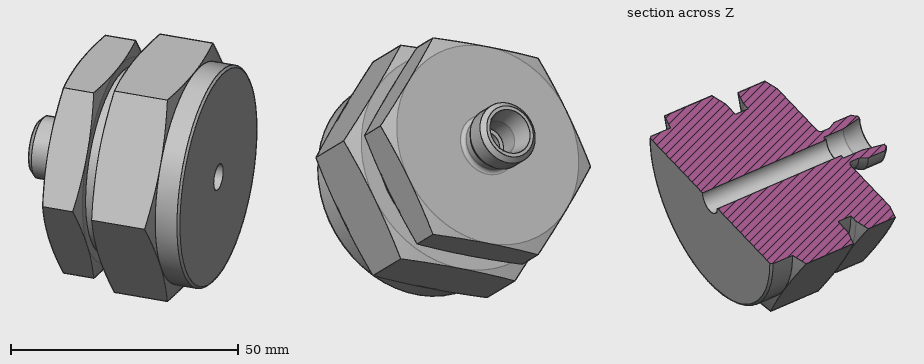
import cadquery as cq
import math


large_hex_corner_diameter = 57.75
large_hex_flats = large_hex_corner_diameter * math.cos(math.radians(30))
small_hex_flats = 46.0
hex_chamfer_angle = 15

small_hex_start = 10.0
small_hex_end = 19.0
large_hex_start = 22.3
large_hex_end = 36.8
overall_length = 42.4

waist_diameter = 41.95
rim_diameter = 49.9
rim_chamfer = 0.5

connector_diameter = 13.95
connector_chamfer = 1.1
connector_shoulder = 5.5
neck_diameter = 11.9
neck_taper_angle = 30
root_fillet = 0.9

seat_mouth_diameter = 10.1
tube_diameter = 7.95
seat_half_angle = 12
tube_depth = 10.0
through_diameter = 6.0


def revolve_about_x(sketch):
    return sketch.close().revolve(360, (0, 0, 0), (1, 0, 0))


def cylinder_along_x(start, end, diameter):
    return cq.Workplane("YZ", origin=(start, 0, 0)).circle(diameter / 2).extrude(end - start)


def chamfered_hexagon(start, end, flats):
    """Hexagon with corners on Y, its corners cut conically at both ends."""
    length = end - start
    corner_radius = flats / 2 / math.cos(math.radians(30))
    prism = (
        cq.Workplane("YZ", origin=(start, 0, 0))
        .polygon(6, 2 * corner_radius)
        .extrude(length)
    )
    face_radius = flats / 2
    middle_radius = face_radius + length / 2 / math.tan(math.radians(hex_chamfer_angle))
    double_cone = revolve_about_x(
        cq.Workplane("XY")
        .moveTo(start, 0)
        .lineTo(start, face_radius)
        .lineTo((start + end) / 2, middle_radius)
        .lineTo(end, face_radius)
        .lineTo(end, 0)
    )
    return prism.intersect(double_cone)


def tube_connector():
    """Chamfered collar tapering to a neck that flares into the small hexagon."""
    outer_radius = connector_diameter / 2
    neck_radius = neck_diameter / 2
    taper_length = (outer_radius - neck_radius) / math.tan(math.radians(neck_taper_angle))
    fillet_start = small_hex_start - root_fillet
    fillet_offset = root_fillet * math.sin(math.radians(45))
    return revolve_about_x(
        cq.Workplane("XY")
        .lineTo(0, outer_radius - connector_chamfer)
        .lineTo(connector_chamfer, outer_radius)
        .lineTo(connector_shoulder, outer_radius)
        .lineTo(connector_shoulder + taper_length, neck_radius)
        .lineTo(fillet_start, neck_radius)
        .threePointArc(
            (fillet_start + fillet_offset, neck_radius + root_fillet - fillet_offset),
            (small_hex_start, neck_radius + root_fillet),
        )
        .lineTo(small_hex_start, 0)
    )


def stepped_bore():
    """Conical seat, tube socket and narrower through hole."""
    mouth_radius = seat_mouth_diameter / 2
    tube_radius = tube_diameter / 2
    through_radius = through_diameter / 2
    seat_depth = (mouth_radius - tube_radius) / math.tan(math.radians(seat_half_angle))
    return revolve_about_x(
        cq.Workplane("XY")
        .lineTo(0, mouth_radius)
        .lineTo(seat_depth, tube_radius)
        .lineTo(tube_depth, tube_radius)
        .lineTo(tube_depth, through_radius)
        .lineTo(overall_length, through_radius)
        .lineTo(overall_length, 0)
    )


small_hex = chamfered_hexagon(small_hex_start, small_hex_end, small_hex_flats)
large_hex = chamfered_hexagon(large_hex_start, large_hex_end, large_hex_flats)
waist = cylinder_along_x(small_hex_end, large_hex_start, waist_diameter)
rim = cylinder_along_x(large_hex_end, overall_length, rim_diameter).faces(">X").chamfer(rim_chamfer)

result = (
    tube_connector()
    .union(small_hex)
    .union(waist)
    .union(large_hex)
    .union(rim)
    .cut(stepped_bore())
)